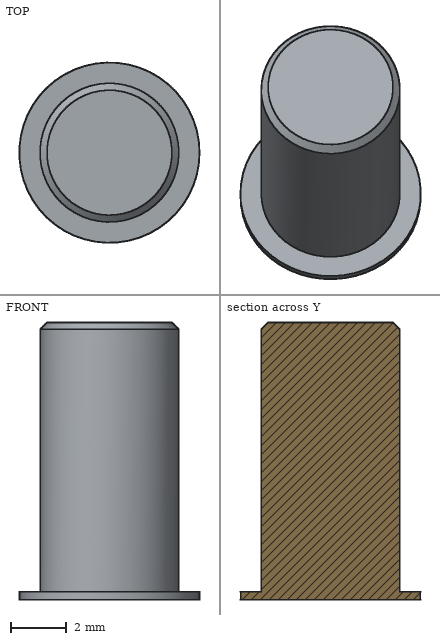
import cadquery as cq

total_height = 10.0
flange_diameter = 6.5
flange_thickness = 0.3
pin_diameter = 5.0
tip_chamfer = 0.25

flange = cq.Workplane("XY").circle(flange_diameter / 2).extrude(flange_thickness)

pin = (
    cq.Workplane("XY")
    .circle(pin_diameter / 2)
    .extrude(total_height)
    .faces(">Z")
    .chamfer(tip_chamfer)
)

result = flange.union(pin)